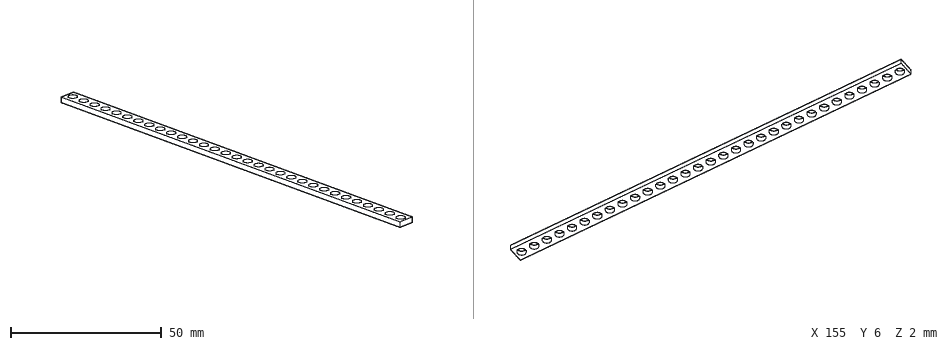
import cadquery as cq

hole_count = 31
hole_pitch = 5.0
hole_diameter = 3.1
bar_length = hole_count * hole_pitch
bar_width = 6.0
bar_thickness = 2.0


def make_bar():
    """Plain rectangular bar centred on the origin."""
    return cq.Workplane("XY").box(bar_length, bar_width, bar_thickness)


def drill_hole_row(bar):
    """Through holes along the centreline, half a pitch in from each end."""
    return (
        bar.faces(">Z")
        .workplane()
        .rarray(hole_pitch, bar_width, hole_count, 1)
        .hole(hole_diameter)
    )


result = drill_hole_row(make_bar())